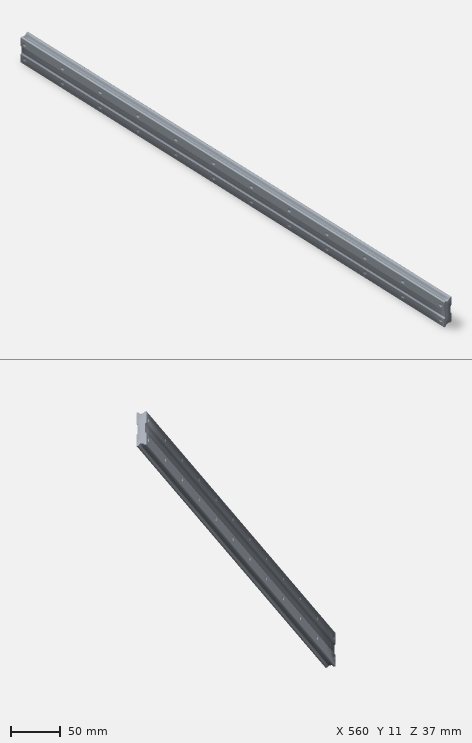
import cadquery as cq
import math

length = 560.0
thickness = 11.0
height = 37.0

wall_angle = 40.0
wall_spread = math.tan(math.radians(wall_angle))

waist_depth = 1.5
waist_mouth_height = 12.0
waist_floor_height = waist_mouth_height - 2 * waist_depth * wall_spread

edge_groove_depth = 2.0
edge_groove_mouth_width = 6.5
edge_groove_floor_width = edge_groove_mouth_width - 2 * edge_groove_depth * wall_spread

corner_radius = 0.5
mouth_radius = 1.5

hole_diameter = 4.5
hole_pitch = 50.0
holes_per_row = 12
row_spacing = 22.0


def rail_body():
    """Constant grooved cross-section in the YZ plane, extruded along X."""
    half_thickness = thickness / 2
    half_height = height / 2
    quarter = [
        (half_thickness - waist_depth, waist_floor_height / 2),
        (half_thickness, waist_mouth_height / 2),
        (half_thickness, half_height),
        (edge_groove_mouth_width / 2, half_height),
        (edge_groove_floor_width / 2, half_height - edge_groove_depth),
    ]
    upper = quarter + [(-y, z) for y, z in reversed(quarter)]
    lower = [(-y, -z) for y, z in upper]
    section = cq.Workplane("YZ").polyline(upper + lower).close()
    return section.extrude(length / 2, both=True)


def round_long_edges(body):
    """Round the groove mouths, then the outer corners, of both narrow edges."""
    groove_mouths = body.faces("<Z or >Z").edges("|X").edges("not (<Y or >Y)")
    body = groove_mouths.fillet(mouth_radius)
    outer_corners = body.faces("<Z or >Z").edges("|X").edges("<Y or >Y")
    return outer_corners.fillet(corner_radius)


def holes():
    """Cutters for the through holes, running along Y."""
    return (
        cq.Workplane("XZ", origin=(0, thickness / 2, 0))
        .rarray(hole_pitch, row_spacing, holes_per_row, 2)
        .circle(hole_diameter / 2)
        .extrude(thickness)
    )


result = round_long_edges(rail_body()).cut(holes())